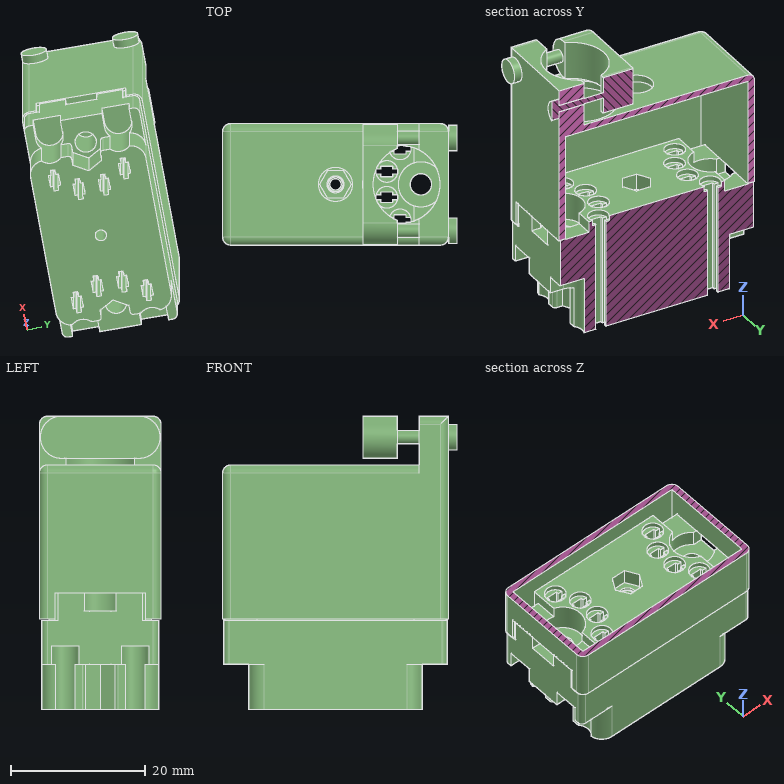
import cadquery as cq
import math


hood_length = 33.65
hood_width = 18.15
hood_bottom = 13.45
hood_top = 36.45
hood_wall = 1.2
hood_fillet = 1.22
total_height = 43.7
back_plate_thickness = 4.35
access_hole_radius = 2.55
notch_width = 13.55

cable_radius = 5.75
cable_x = 9.8
clamp_arc_x = 11.35
bar_start_x = 4.05
bar_thickness = 5.15
bar_height = 6.3
bar_length = 17.85
screw_radius = 1.0
screw_y = 6.9
screw_head_radius = 1.92
screw_head_height = 1.25
screw_z = total_height - bar_height / 2

flange_length = 33.3
flange_width = 17.45
flange_bottom = 6.75
flange_top = 13.3
flange_fillet = 0.85
plug_length = 25.88
plug_fillet = 2.27
tab_width = 12.6
tab_top = 17.4
tab_side_step = 0.2
block_length = 23.45
block_width = 15.3
block_top = 19.25

guide_x = 12.7
guide_hole_radius = 1.57
guide_pocket_radius = 3.35
guide_pocket_floor = 14.7
window_width = 4.7
guide_hex_flats = 4.35
guide_mouth_fillet = 0.5

scoop_x = 14.4
scoop_y = 5.2
scoop_radius = 2.05
scoop_top = 9.5

nut_flats = 4.1
nut_depth = 2.62
jack_hole_radius = 0.85
jack_countersink_radius = 1.1
jack_bore_radius = 1.25
jack_bore_depth = 0.45

contact_places = [(7.65, 1.92), (9.6, 5.3)]
contact_radius = 1.6
contact_depth = 0.87
contact_core_length = 1.75
contact_core_width = 1.55
contact_blade_width = 0.7


def block(x_min, x_max, width, z_min, z_max):
    """Box between two X and two Z positions, centred on Y."""
    return cq.Workplane("XY").box(x_max - x_min, width, z_max - z_min).translate(
        ((x_min + x_max) / 2, 0, (z_min + z_max) / 2)
    )


def upright(radius, x, y, z_min, z_max):
    """Vertical cylinder."""
    return cq.Workplane("XY", origin=(x, y, z_min)).circle(radius).extrude(z_max - z_min)


def along_x(radius, y, z, x_min, x_max):
    """Cylinder parallel to X."""
    return cq.Workplane("YZ", origin=(x_min, y, z)).circle(radius).extrude(x_max - x_min)


def hex_prism(flats, x, z_min, z_max):
    """Upright hexagonal prism with two corners on the X direction."""
    corners = flats / math.cos(math.radians(30))
    return cq.Workplane("XY", origin=(x, 0, z_min)).polygon(6, corners).extrude(z_max - z_min)


def make_hood():
    half = hood_length / 2
    plate_x = half - back_plate_thickness

    box = block(-half, plate_x, hood_width, hood_bottom, hood_top)
    box = box.edges("(|Z and <X) or (>Z and (|X or <X))").fillet(hood_fillet)

    plate = block(plate_x, half, hood_width, hood_bottom, total_height)
    plate = plate.edges("(|Z and >X) or (|X and >Z)").fillet(hood_fillet)
    hood = box.union(plate)

    inner = half - hood_wall
    hood = hood.cut(block(-inner, inner, hood_width - 2 * hood_wall, hood_bottom, hood_top - hood_wall))

    hood = hood.cut(upright(cable_radius, cable_x, 0, hood_top - hood_wall, total_height))
    hood = hood.cut(upright(access_hole_radius, 0, 0, hood_top - hood_wall, hood_top))
    for side in (-1, 1):
        hood = hood.cut(along_x(screw_radius, side * screw_y, screw_z, plate_x, half))
    return hood.cut(block(-half, half, notch_width, hood_bottom, tab_top))


def make_clamp():
    bar = (
        cq.Workplane("YZ", origin=(bar_start_x, 0, screw_z))
        .slot2D(bar_length, bar_height)
        .extrude(bar_thickness)
    )
    clamp = bar.cut(upright(cable_radius, clamp_arc_x, 0, total_height - bar_height, total_height))

    head_x = hood_length / 2
    for side in (-1, 1):
        y = side * screw_y
        clamp = clamp.union(along_x(screw_radius, y, screw_z, bar_start_x + bar_thickness, head_x))
        clamp = clamp.union(along_x(screw_head_radius, y, screw_z, head_x, head_x + screw_head_height))
    return clamp


def contact_opening(x, y):
    """Round recess with a cross-shaped hole through the connector below it."""
    recess = upright(contact_radius, x, y, block_top - contact_depth, block_top)
    base = cq.Workplane("XY", origin=(x, y, 0))
    core = base.rect(contact_core_length, contact_core_width).extrude(block_top)
    blade = base.rect(2 * contact_radius, contact_blade_width).extrude(block_top)
    cross = core.union(blade).intersect(upright(contact_radius, x, y, 0, block_top))
    return recess.union(cross)


def end_slot(end, y):
    """Vertical slot, open at one end of the flange, with a round inner end."""
    round_end = upright(scoop_radius, end * scoop_x, y, 0, scoop_top)
    x_min, x_max = sorted((end * scoop_x, end * hood_length / 2))
    return round_end.union(block(x_min, x_max, 2 * scoop_radius, 0, scoop_top).translate((0, y, 0)))


def make_connector():
    plug = block(-plug_length / 2, plug_length / 2, flange_width, 0, flange_bottom)
    plug = plug.edges("|Z").fillet(plug_fillet)

    for end in (-1, 1):
        plug = plug.cut(hex_prism(guide_hex_flats, end * guide_x, 0, flange_bottom))
    mouth_reach = guide_hex_flats / 2 + guide_mouth_fillet
    mouth_edges = cq.selectors.BoxSelector(
        (-hood_length, -mouth_reach, 0), (hood_length, mouth_reach, flange_bottom)
    )
    end_edges = plug.faces("<X or >X").edges("|Z").edges(mouth_edges)
    plug = plug.newObject(end_edges.vals()).fillet(guide_mouth_fillet)

    flange = block(-flange_length / 2, flange_length / 2, flange_width, flange_bottom, flange_top)
    flange = flange.edges("|Z").fillet(flange_fillet)
    tab = block(-flange_length / 2, flange_length / 2, tab_width, flange_top, tab_top)
    core_end = flange_length / 2 - tab_side_step
    core = block(-core_end, core_end, notch_width, flange_top, tab_top)
    contact_block = block(-block_length / 2, block_length / 2, block_width, flange_top, block_top)
    connector = plug.union(flange).union(tab).union(core).union(contact_block)

    for end in (-1, 1):
        x = end * guide_x
        connector = connector.cut(upright(guide_pocket_radius, x, 0, guide_pocket_floor, block_top))
        connector = connector.cut(upright(guide_hole_radius, x, 0, flange_bottom, guide_pocket_floor))
        x_min, x_max = sorted((x, end * hood_length / 2))
        connector = connector.cut(block(x_min, x_max, window_width, guide_pocket_floor, tab_top))
        for side in (-1, 1):
            connector = connector.cut(end_slot(end, side * scoop_y))
            for contact_x, contact_y in contact_places:
                connector = connector.cut(contact_opening(end * contact_x, side * contact_y))

    nut_floor = block_top - nut_depth
    bore_floor = nut_floor - jack_bore_depth
    connector = connector.cut(hex_prism(nut_flats, 0, nut_floor, block_top))
    connector = connector.cut(upright(jack_bore_radius, 0, 0, bore_floor, nut_floor))
    connector = connector.cut(upright(jack_hole_radius, 0, 0, 0, bore_floor))
    sink_depth = jack_countersink_radius - jack_hole_radius
    sink_base = cq.Vector(0, 0, bore_floor - sink_depth)
    countersink = cq.Solid.makeCone(jack_hole_radius, jack_countersink_radius, sink_depth, sink_base)
    return connector.cut(cq.Workplane(countersink))


hood = make_hood()
clamp = make_clamp()
connector = make_connector()

result = cq.Compound.makeCompound([part.solids().val() for part in (hood, clamp, connector)])